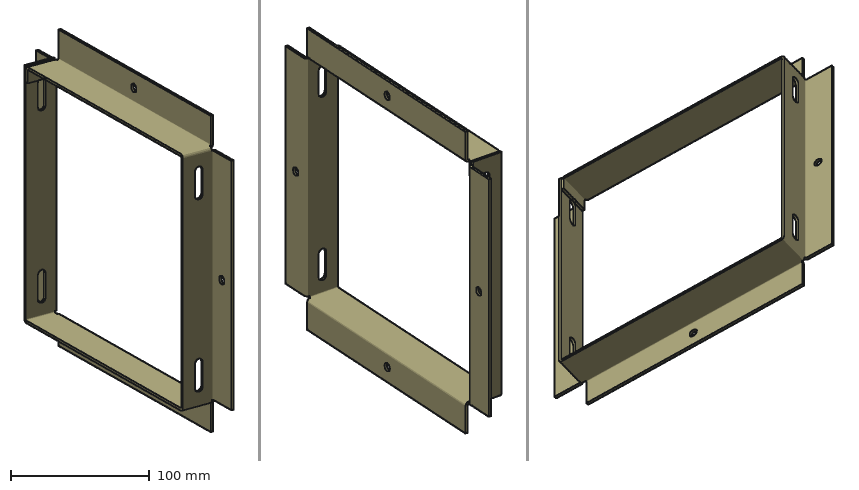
import cadquery as cq

outer_size = 247.8
depth = 28.5
sheet = 2.1
bend_inner_radius = 0.87
bend_outer_radius = bend_inner_radius + sheet

flange_reach = 23.3
wall_half = outer_size / 2 - flange_reach
tab_length = 13.0
lap_gap = 0.1

hole_diameter = 6.5
hole_edge_distance = 12.5
slot_length = 25.8
slot_width = 6.7
slot_offset = 75.3
slot_y = -0.2

front_y = -depth / 2
back_y = depth / 2
wall_back_y = back_y - bend_outer_radius
inner_half = wall_half - sheet
flange_end = wall_half - bend_outer_radius
lap_half = inner_half - lap_gap
lapped_flange_end = lap_half - bend_outer_radius


def box(x_min, x_max, y_min, y_max, z_min, z_max):
    """Box between opposite corners."""
    size = (x_max - x_min, y_max - y_min, z_max - z_min)
    return cq.Workplane("XY").box(*size, centered=False).translate((x_min, y_min, z_min))


def rounded_prism(left, right, bottom, top, radius):
    """Wall-depth block with rounded corners along Y."""
    block = box(left, right, front_y, wall_back_y, bottom, top)
    return block.edges("|Y").fillet(radius)


def make_walls():
    """Folded loop whose top wall turns down inside the left wall as a short tab."""
    loop = rounded_prism(-lap_half, wall_half, -wall_half, wall_half, bend_outer_radius)
    opening = rounded_prism(
        -lap_half + sheet, inner_half, -inner_half, inner_half, bend_inner_radius
    )
    loop = loop.cut(opening)

    tab_end = wall_half - tab_length
    loop = loop.cut(box(-wall_half, 0, front_y, wall_back_y, -wall_half, tab_end))
    left_loop = rounded_prism(-wall_half, wall_half, -wall_half, wall_half, bend_outer_radius)
    left_opening = rounded_prism(-inner_half, inner_half, -inner_half, inner_half, bend_inner_radius)
    left_loop = left_loop.cut(left_opening)
    lower_left = left_loop.intersect(box(-wall_half, 0, front_y, wall_back_y, -wall_half, 0))
    upper_left = box(-wall_half, -inner_half, front_y, wall_back_y, 0, wall_half)
    return loop.union(lower_left).union(upper_left)


def make_flange(start, end):
    """Top flange with its bend, running from start to end along X."""
    bend_center_z = wall_half + bend_inner_radius
    profile = (
        cq.Workplane("YZ", origin=(start, 0, 0))
        .moveTo(wall_back_y, inner_half)
        .lineTo(wall_back_y, wall_half)
        .radiusArc((back_y - sheet, bend_center_z), -bend_inner_radius)
        .lineTo(back_y - sheet, outer_size / 2)
        .lineTo(back_y, outer_size / 2)
        .lineTo(back_y, bend_center_z)
        .radiusArc((wall_back_y, inner_half), bend_outer_radius)
        .close()
    )
    flange = profile.extrude(end - start)
    hole = (
        cq.Workplane("XZ", origin=(0, back_y, 0))
        .center(0, outer_size / 2 - hole_edge_distance)
        .circle(hole_diameter / 2)
        .extrude(sheet)
    )
    return flange.cut(hole)


def make_slots():
    """Upright slot cutters crossing both side walls."""
    return (
        cq.Workplane("YZ")
        .pushPoints([(slot_y, -slot_offset), (slot_y, slot_offset)])
        .slot2D(slot_length, slot_width, 90)
        .extrude(outer_size / 2, both=True)
    )


flanges = [
    (0, -lapped_flange_end, flange_end),
    (90, -flange_end, flange_end),
    (180, -flange_end, lapped_flange_end),
    (270, -flange_end, flange_end),
]

result = make_walls().cut(make_slots())
for angle, start, end in flanges:
    result = result.union(make_flange(start, end).rotate((0, 0, 0), (0, 1, 0), angle))